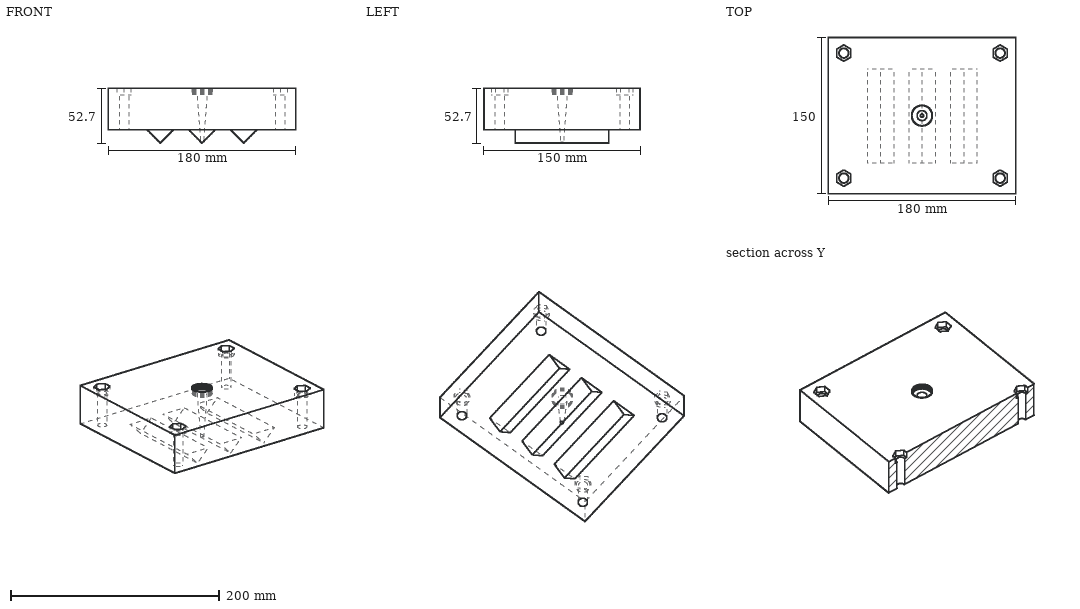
import cadquery as cq
import math

plate_length = 180.0
plate_width = plate_length * 5 / 6
plate_height = plate_length * 2 / 9

bar_side = plate_length / 10
ridge_height = bar_side / math.sqrt(2)
ridge_length = plate_length / 2
ridge_spacing = plate_height
ridge_count = 3

bolt_inset = plate_length / 12
bolt_diameter = plate_length / 20
nut_flats = 13.5
nut_depth = 6.5

thread_diameter = plate_length / 9
thread_pitch = thread_diameter / 20
thread_depth = 0.4
groove_width = thread_pitch * 4 / 5
groove_overlap = 0.09
thread_start_angle = 255
thread_turn = 135
seat_depth = 6.0

feed_top_diameter = 9.5
feed_tip_diameter = 2.7

seat_radius = thread_diameter / 2 - thread_depth
seat_floor = plate_height - seat_depth


def make_plate():
    return cq.Workplane("XY").box(plate_length, plate_width, plate_height, centered=(True, True, False))


def make_ridge(x):
    """Triangular ridge along Y whose sharp edge points down."""
    return (
        cq.Workplane("XZ")
        .polyline([(x - ridge_height, 0), (x + ridge_height, 0), (x, -ridge_height)])
        .close()
        .extrude(ridge_length / 2, both=True)
    )


def at_bolts():
    """Workplane on the underside with one point at each bolt."""
    return (
        cq.Workplane("XY")
        .rect(plate_length - 2 * bolt_inset, plate_width - 2 * bolt_inset, forConstruction=True)
        .vertices()
    )


def make_bolt_cutters():
    """Through holes and nut pockets with two corners pointing along Y."""
    holes = at_bolts().circle(bolt_diameter / 2).extrude(plate_height)
    pockets = at_bolts().polygon(6, nut_flats, circumscribed=True).extrude(nut_depth)
    return holes.union(pockets.translate((0, 0, plate_height - nut_depth)))


def make_feed_cutter():
    """Round seat with a taper that narrows down to the tip of the middle ridge."""
    return (
        cq.Workplane("XZ")
        .polyline([
            (0, plate_height),
            (seat_radius, plate_height),
            (seat_radius, seat_floor),
            (feed_top_diameter / 2, seat_floor),
            (feed_tip_diameter / 2, -ridge_height),
            (0, -ridge_height),
        ])
        .close()
        .revolve(360, (0, 0, 0), (0, 1, 0))
    )


def make_thread_cutter():
    """V-shaped groove that winds up the seat wall and runs out through the top face."""
    half_width = groove_width / 2
    start = seat_floor + thread_pitch / 2
    path = cq.Wire.makeHelix(thread_pitch, seat_depth, seat_radius).moved(cq.Location((0, 0, start)))
    return (
        cq.Workplane("XZ")
        .polyline([
            (seat_radius - groove_overlap, start - half_width),
            (seat_radius - groove_overlap, start + half_width),
            (seat_radius + thread_depth, start),
        ])
        .close()
        .sweep(cq.Workplane(obj=path), isFrenet=True)
        .rotate((0, 0, 0), (0, 0, 1), thread_start_angle)
    )


def make_threaded_feed_cutter():
    """Feed and thread joined, then turned to where the groove runs out at the top."""
    cutter = make_feed_cutter().union(make_thread_cutter())
    return cutter.rotate((0, 0, 0), (0, 0, 1), thread_turn)


result = make_plate()
for index in range(ridge_count):
    result = result.union(make_ridge((index - (ridge_count - 1) / 2) * ridge_spacing))
result = result.cut(make_bolt_cutters()).cut(make_threaded_feed_cutter())